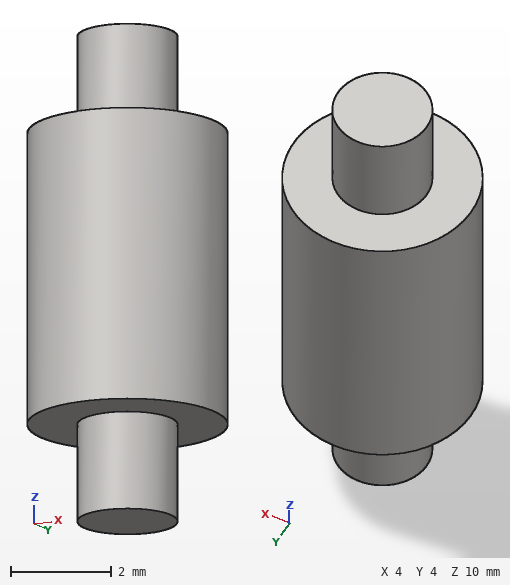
import cadquery as cq

body_diameter = 4.0
body_length = 6.0
pin_diameter = 2.0
pin_length = 2.0

body_radius = body_diameter / 2
pin_radius = pin_diameter / 2
body_end = body_length / 2
pin_end = body_end + pin_length


def stepped_half_profile():
    """Half section in the XZ plane, on the -X side of the Z axis, centred on the origin."""
    return (
        cq.Workplane("XZ")
        .moveTo(0, -pin_end)
        .lineTo(-pin_radius, -pin_end)
        .lineTo(-pin_radius, -body_end)
        .lineTo(-body_radius, -body_end)
        .lineTo(-body_radius, body_end)
        .lineTo(-pin_radius, body_end)
        .lineTo(-pin_radius, pin_end)
        .lineTo(0, pin_end)
        .close()
    )


axis_start = (0, 0)
axis_end = (0, 1)
result = stepped_half_profile().revolve(360, axis_start, axis_end)